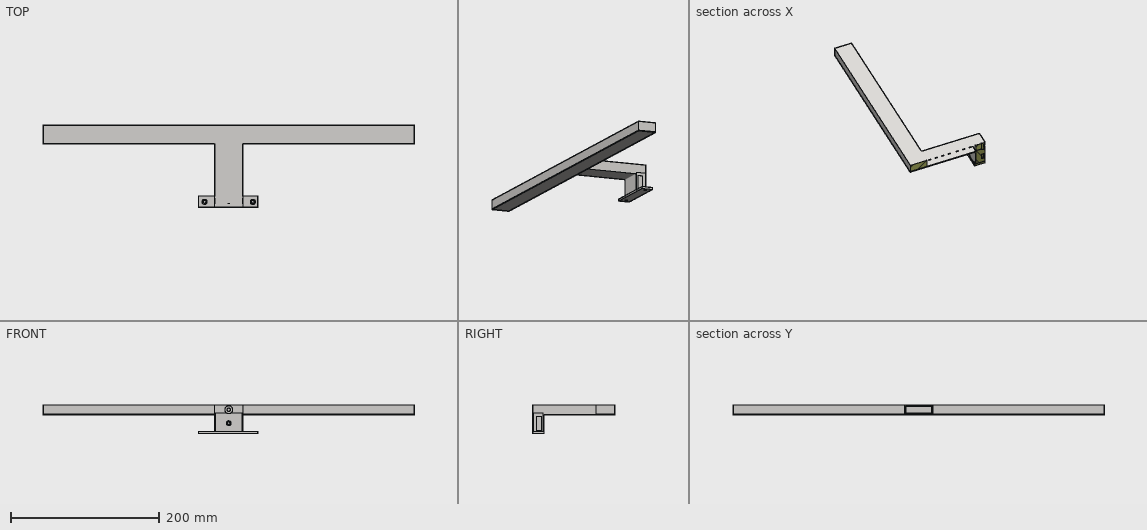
import cadquery as cq

bar_length = 500.0
overall_depth = 110.55
overall_height = 38.7

bar_depth = 25.0
arm_width = 38.0
arm_height = 13.5
leg_depth = 15.0
corner_radius = 1.0

hollow_wall = 2.0
hollow_height = 9.2
hollow_front_y = 14.0

core_side_wall = 1.0
core_front_wall = 0.8
core_back_wall = 1.5
core_top_drop = 11.2

cover_thickness = 1.0

plate_length = 80.0
plate_depth = 15.4
plate_thickness = 3.0
plate_edge_radius = 0.5
plate_center_x = -0.9
plate_hole_spacing = 65.0
plate_hole_y = 7.3
plate_hole_diameter = 3.5
plate_sink_diameter = 7.0
plate_sink_angle = 90.0

pocket_front_gap = 5.0
pocket_width = 7.0
pocket_depth = 0.5
pocket_top_gap = 2.0
pocket_bottom_gap = 1.0

upper_screw_diameter = 10.5
upper_socket_diameter = 4.5
upper_screw_drop = 6.5
lower_screw_diameter = 6.5
lower_socket_diameter = 3.5
lower_screw_drop = 24.6
screw_length = 5.0
socket_depth = 2.0

selection_margin = 1.0

arm_bottom_z = overall_height - arm_height
leg_height = arm_bottom_z - plate_thickness

bar_front_y = overall_depth - bar_depth


def box(x_size, y_start, y_size, z_start, z_size, x_center=0.0):
    """A block centred on x_center, starting at the given y and z."""
    return cq.Workplane("XY").box(x_size, y_size, z_size, centered=(True, False, False)).translate(
        (x_center, y_start, z_start)
    )


def wall_end_cylinder(diameter, length, drop):
    """A cylinder running into the wall end, its axis the given drop below the top."""
    return (
        cq.Workplane("XZ", origin=(0, 0, overall_height - drop)).circle(diameter / 2).extrude(-length)
    )


def make_screw(diameter, socket_diameter, drop):
    """A plain screw flush with the wall end, with a round socket in its head."""
    shank = wall_end_cylinder(diameter, screw_length, drop)
    return shank.cut(wall_end_cylinder(socket_diameter, socket_depth, drop))


def cut_screw_seats(body):
    """Cut the seats of both screws out of a body."""
    body = body.cut(wall_end_cylinder(upper_screw_diameter, screw_length, upper_screw_drop))
    return body.cut(wall_end_cylinder(lower_screw_diameter, screw_length, lower_screw_drop))


def make_core_block():
    """The space inside the leg that the core fills."""
    core_width = arm_width - 2 * core_side_wall
    core_depth = leg_depth - core_front_wall - core_back_wall
    core_height = overall_height - core_top_drop - plate_thickness
    return box(core_width, core_front_wall, core_depth, plate_thickness, core_height)


def make_leg_core():
    """Core of the leg, cut away around the screws."""
    return cut_screw_seats(make_core_block())


def make_housing():
    """Bar, arm and leg in one piece, with seats for the core, the cover and the screws."""
    bar = box(bar_length, bar_front_y, bar_depth, arm_bottom_z, arm_height)
    arm = box(arm_width, 0, overall_depth, arm_bottom_z, arm_height)
    leg = box(arm_width, 0, leg_depth, plate_thickness, leg_height)
    body = bar.union(arm).union(leg).clean()

    corners_with_bar = cq.selectors.BoxSelector(
        (-arm_width, bar_front_y - selection_margin, 0),
        (arm_width, bar_front_y + selection_margin, overall_height),
    )
    body = body.edges("|Z").edges(corners_with_bar).fillet(corner_radius)
    body = body.faces("<Y").edges("|Z").fillet(corner_radius)
    inner_corner = cq.selectors.BoxSelector(
        (-selection_margin, leg_depth - selection_margin, arm_bottom_z - selection_margin),
        (selection_margin, leg_depth + selection_margin, arm_bottom_z + selection_margin),
    )
    body = body.edges("|X").edges(inner_corner).fillet(corner_radius)

    pocket_height = leg_height - pocket_top_gap - pocket_bottom_gap
    pocket_z = plate_thickness + pocket_bottom_gap
    for side in (-1, 1):
        center_x = side * (arm_width - pocket_depth) / 2
        body = body.cut(
            box(pocket_depth, pocket_front_gap, pocket_width, pocket_z, pocket_height, center_x)
        )

    hollow_length = bar_front_y - hollow_front_y
    hollow_z = overall_height - hollow_wall - hollow_height
    hollow_width = arm_width - 2 * hollow_wall
    body = body.cut(box(hollow_width, hollow_front_y, hollow_length, hollow_z, hollow_height))

    body = body.cut(make_core_block())
    return cut_screw_seats(body).cut(make_cover())


def make_cover():
    """Flat strip under the full length of the bar."""
    return box(bar_length, bar_front_y, bar_depth, arm_bottom_z, cover_thickness)


def make_plate():
    """Wall plate, rounded along its upper edges, with a countersunk hole on each side of the leg."""
    plate = box(plate_length, 0, plate_depth, 0, plate_thickness, plate_center_x)
    plate = plate.faces(">Z").edges().fillet(plate_edge_radius)
    half_spacing = plate_hole_spacing / 2
    return (
        plate.faces(">Z")
        .workplane(origin=(0, plate_hole_y, plate_thickness))
        .pushPoints([(-half_spacing, 0), (half_spacing, 0)])
        .cskHole(plate_hole_diameter, plate_sink_diameter, plate_sink_angle)
    )


housing = make_housing()
leg_core = make_leg_core()
cover = make_cover()
plate = make_plate()
upper_screw = make_screw(upper_screw_diameter, upper_socket_diameter, upper_screw_drop)
lower_screw = make_screw(lower_screw_diameter, lower_socket_diameter, lower_screw_drop)

result = cq.Compound.makeCompound(
    [housing.val(), leg_core.val(), cover.val(), plate.val(), upper_screw.val(), lower_screw.val()]
)